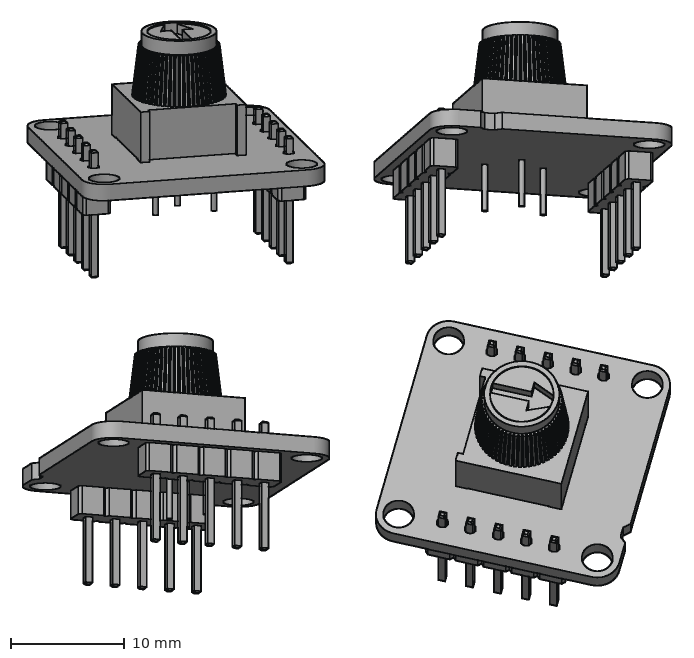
import cadquery as cq
import math

BOARD_SIDE = 22.0
BOARD_HALF = BOARD_SIDE / 2
BOARD_THICKNESS = 1.5
CORNER_RADIUS = 2.0
MOUNT_HOLE_DIAMETER = 2.7
MOUNT_HOLE_OFFSET = BOARD_HALF - CORNER_RADIUS
EDGE_NOTCH_Y = 5.96
EDGE_NOTCH_OUTER_WIDTH = 1.95
EDGE_NOTCH_INNER_WIDTH = 0.9
EDGE_NOTCH_DEPTH = 0.55

PIN_COUNT = 5
PIN_PITCH = 2.53
PIN_WIDTH = 0.64
PIN_HOLE_DIAMETER = 1.0
PIN_TIP_CHAMFER = 0.15
PIN_BOTTOM = -8.58
PIN_TOP = 3.0
HEADER_ROW_Y = 8.89
HEADER_HEIGHT = 2.53
HEADER_CORNER_CUT = 0.26
PIN_X = [(i - (PIN_COUNT - 1) / 2) * PIN_PITCH for i in range(PIN_COUNT)]

POT_X = 0.05
POT_Y = 0.26
POT_SIDE = 9.6
POT_HALF = POT_SIDE / 2
POT_TOP = 6.1
SIDE_RECESS_DEPTH = 0.48
SIDE_RECESS_MARGIN = 0.81
FOOT_HEIGHT = 0.07
FOOT_LENGTH_X = 1.17
FOOT_LENGTH_Y = SIDE_RECESS_MARGIN
POT_PIN_DIAMETER = 0.5
POT_PIN_BOTTOM = -4.15
POT_PIN_PITCH = 2.66
WIPER_PIN_X = -0.55
END_PIN_X = 1.94
POT_PIN_PLACES = [
    (POT_X + END_PIN_X, POT_Y - POT_PIN_PITCH),
    (POT_X + WIPER_PIN_X, POT_Y),
    (POT_X + END_PIN_X, POT_Y + POT_PIN_PITCH),
]

KNOB_TOP = 11.85
COLLAR_RADIUS = 3.3
COLLAR_HEIGHT = 1.25
KNURL_TOP = KNOB_TOP - COLLAR_HEIGHT
KNURL_HEIGHT = KNURL_TOP - POT_TOP
KNURL_TOP_RADIUS = 3.59
KNURL_BOTTOM_RADIUS = 4.14
KNURL_DEPTH = 0.13
TOOTH_COUNT = 60
TOOTH_TIP_SHARE = 0.5
TOOTH_BASE_SHARE = 0.7
DIAL_RADIUS = 2.8
DIAL_DEPTH = 0.1
ARROW_DEPTH = 1.0
ARROW_SHAFT_WIDTH = 0.97
ARROW_HEAD_HALF_WIDTH = 1.45
ARROW_HEAD_BASE_X = -0.77
ARROW_HEAD_LENGTH = 3.21


def block(x_size, y_size, z_bottom, z_top, center=(0, 0)):
    """Upright box centred on a point of the XY plane."""
    return (
        cq.Workplane("XY", origin=(center[0], center[1], z_bottom))
        .rect(x_size, y_size)
        .extrude(z_top - z_bottom)
    )


def cylinders(places, diameter, z_bottom, z_top):
    """Upright cylinders at each given place."""
    return (
        cq.Workplane("XY", origin=(0, 0, z_bottom))
        .pushPoints(places)
        .circle(diameter / 2)
        .extrude(z_top - z_bottom)
    )


def make_board():
    """Square board with rounded corners, its holes and one notch in the -X edge."""
    plate = block(BOARD_SIDE, BOARD_SIDE, 0, BOARD_THICKNESS).edges("|Z").fillet(CORNER_RADIUS)

    corners = [(x, y) for x in (-MOUNT_HOLE_OFFSET, MOUNT_HOLE_OFFSET)
               for y in (-MOUNT_HOLE_OFFSET, MOUNT_HOLE_OFFSET)]
    plate = plate.cut(cylinders(corners, MOUNT_HOLE_DIAMETER, 0, BOARD_THICKNESS))

    pin_places = [(x, y) for x in PIN_X for y in (-HEADER_ROW_Y, HEADER_ROW_Y)]
    plate = plate.cut(cylinders(pin_places, PIN_HOLE_DIAMETER, 0, BOARD_THICKNESS))
    plate = plate.cut(cylinders(POT_PIN_PLACES, POT_PIN_DIAMETER, 0, BOARD_THICKNESS))

    notch = (
        cq.Workplane("XY")
        .polyline([
            (-BOARD_HALF, EDGE_NOTCH_Y - EDGE_NOTCH_OUTER_WIDTH / 2),
            (-BOARD_HALF + EDGE_NOTCH_DEPTH, EDGE_NOTCH_Y - EDGE_NOTCH_INNER_WIDTH / 2),
            (-BOARD_HALF + EDGE_NOTCH_DEPTH, EDGE_NOTCH_Y + EDGE_NOTCH_INNER_WIDTH / 2),
            (-BOARD_HALF, EDGE_NOTCH_Y + EDGE_NOTCH_OUTER_WIDTH / 2),
        ])
        .close()
        .extrude(BOARD_THICKNESS)
    )
    return plate.cut(notch)


def make_header(row_y):
    """Row of cells with cut corners under the board, each holding one square pin."""
    header = cq.Workplane("XY")
    for x in PIN_X:
        cell = block(PIN_PITCH, PIN_PITCH, -HEADER_HEIGHT, 0, (x, row_y))
        header = header.union(cell.edges("|Z").chamfer(HEADER_CORNER_CUT))
    for x in PIN_X:
        pin = block(PIN_WIDTH, PIN_WIDTH, PIN_BOTTOM, PIN_TOP, (x, row_y))
        header = header.union(pin.faces("<Z or >Z").chamfer(PIN_TIP_CHAMFER))
    return header


def make_potentiometer():
    """Square housing on four low corner feet, recessed on its +X side, with three round pins."""
    center = (POT_X, POT_Y)
    housing = block(POT_SIDE, POT_SIDE, BOARD_THICKNESS, POT_TOP, center)

    gap_top = BOARD_THICKNESS + FOOT_HEIGHT
    gap_x = POT_SIDE - 2 * FOOT_LENGTH_X
    gap_y = POT_SIDE - 2 * FOOT_LENGTH_Y
    housing = housing.cut(block(gap_x, POT_SIDE, BOARD_THICKNESS, gap_top, center))
    housing = housing.cut(block(POT_SIDE, gap_y, BOARD_THICKNESS, gap_top, center))

    recess_center = (POT_X + POT_HALF - SIDE_RECESS_DEPTH / 2, POT_Y)
    recess_width = POT_SIDE - 2 * SIDE_RECESS_MARGIN
    recess = block(SIDE_RECESS_DEPTH, recess_width, BOARD_THICKNESS, POT_TOP, recess_center)
    housing = housing.cut(recess)

    return housing.union(cylinders(POT_PIN_PLACES, POT_PIN_DIAMETER, POT_PIN_BOTTOM, gap_top))


def knurl_outline(plane, outer_radius):
    """Closed outline of flat-topped teeth around a circle."""
    step = 2 * math.pi / TOOTH_COUNT
    root_radius = outer_radius - KNURL_DEPTH
    half_tip = TOOTH_TIP_SHARE * step / 2
    half_base = TOOTH_BASE_SHARE * step / 2
    points = []
    for i in range(TOOTH_COUNT):
        for radius, turn in (
            (root_radius, -half_base),
            (outer_radius, -half_tip),
            (outer_radius, half_tip),
            (root_radius, half_base),
        ):
            angle = i * step + turn
            points.append((radius * math.cos(angle), radius * math.sin(angle)))
    return plane.polyline(points).close()


def make_knob():
    """Tapered knurled grip with a plain collar and a sunk arrow in its top."""
    base = cq.Workplane("XY", origin=(POT_X, POT_Y, POT_TOP))
    lower_outline = knurl_outline(base, KNURL_BOTTOM_RADIUS)
    upper_outline = knurl_outline(lower_outline.workplane(offset=KNURL_HEIGHT), KNURL_TOP_RADIUS)
    knob = upper_outline.loft(ruled=True)

    axis = [(POT_X, POT_Y)]
    knob = knob.union(cylinders(axis, 2 * COLLAR_RADIUS, KNURL_TOP, KNOB_TOP))
    knob = knob.cut(cylinders(axis, 2 * DIAL_RADIUS, KNOB_TOP - DIAL_DEPTH, KNOB_TOP))

    arrow_bottom = KNOB_TOP - ARROW_DEPTH
    half_shaft = ARROW_SHAFT_WIDTH / 2
    arrow = (
        cq.Workplane("XY", origin=(POT_X, POT_Y, arrow_bottom))
        .polyline([
            (DIAL_RADIUS, -half_shaft),
            (DIAL_RADIUS, half_shaft),
            (ARROW_HEAD_BASE_X, half_shaft),
            (ARROW_HEAD_BASE_X, ARROW_HEAD_HALF_WIDTH),
            (ARROW_HEAD_BASE_X - ARROW_HEAD_LENGTH, 0),
            (ARROW_HEAD_BASE_X, -ARROW_HEAD_HALF_WIDTH),
            (ARROW_HEAD_BASE_X, -half_shaft),
        ])
        .close()
        .extrude(ARROW_DEPTH)
        .intersect(cylinders(axis, 2 * DIAL_RADIUS, arrow_bottom, KNOB_TOP))
    )
    return knob.cut(arrow)


board = make_board()
headers = [make_header(row_y) for row_y in (-HEADER_ROW_Y, HEADER_ROW_Y)]
potentiometer = make_potentiometer()
knob = make_knob()

result = cq.Compound.makeCompound(
    [board.val(), *[header.val() for header in headers], potentiometer.val(), knob.val()]
)